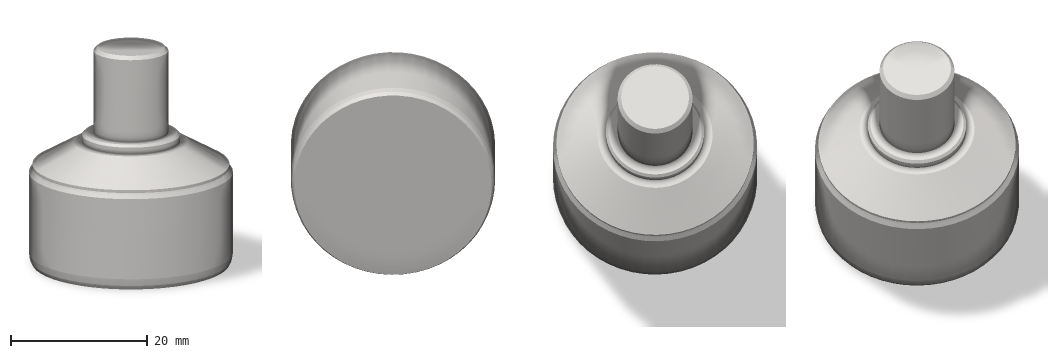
import cadquery as cq

total_height = 32.98
body_diameter = 30.0

bottom_diameter = 29.02
foot_chamfer_top_z = 0.63
foot_taper_bottom_diameter = 29.68
foot_taper_top_z = 1.68
cylinder_top_z = 13.92
housing_top_z = 14.7

cap_diameter = 29.0
roof_bottom_z = 15.15
roof_top_z = 18.6
roof_top_diameter = 16.9

collar_diameter = 14.45
collar_top_z = 19.95
collar_chamfer = 0.35
pin_diameter = 11.0
pin_chamfer = 0.53


def revolve_profile(outline):
    """Revolve a closed (radius, z) outline about the Z axis."""
    return cq.Workplane("XZ").polyline(outline).close().revolve(360, (0, 0), (0, 1))


def chamfered_disc(diameter, bottom_z, top_z, chamfer):
    """Upright cylinder with its top edge chamfered."""
    return (
        cq.Workplane("XY", origin=(0, 0, bottom_z))
        .circle(diameter / 2)
        .extrude(top_z - bottom_z)
        .faces(">Z")
        .chamfer(chamfer)
    )


def make_housing():
    return revolve_profile([
        (0, 0),
        (bottom_diameter / 2, 0),
        (foot_taper_bottom_diameter / 2, foot_chamfer_top_z),
        (body_diameter / 2, foot_taper_top_z),
        (body_diameter / 2, cylinder_top_z),
        (cap_diameter / 2, housing_top_z),
        (0, housing_top_z),
    ])


def make_cap():
    return revolve_profile([
        (0, housing_top_z),
        (cap_diameter / 2, housing_top_z),
        (cap_diameter / 2, roof_bottom_z),
        (roof_top_diameter / 2, roof_top_z),
        (0, roof_top_z),
    ])


def make_stud():
    collar = chamfered_disc(collar_diameter, roof_top_z, collar_top_z, collar_chamfer)
    pin = chamfered_disc(pin_diameter, collar_top_z, total_height, pin_chamfer)
    return collar.union(pin)


housing = make_housing()
cap = make_cap()
stud = make_stud()

result = cq.Compound.makeCompound([housing.val(), cap.val(), *stud.solids().vals()])